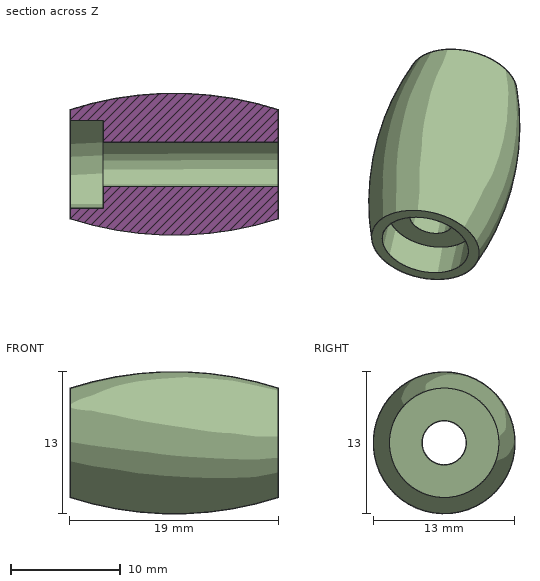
import cadquery as cq

length = 19.0
middle_diameter = 13.0
end_diameter = 10.0
bore_diameter = 4.0
counterbore_diameter = 8.0
counterbore_depth = 3.0

half_length = length / 2
end_radius = end_diameter / 2


def barrel():
    """Solid of revolution with a bulging arc between two flat ends."""
    return (
        cq.Workplane("XY")
        .moveTo(-half_length, 0)
        .lineTo(-half_length, end_radius)
        .threePointArc((0, middle_diameter / 2), (half_length, end_radius))
        .lineTo(half_length, 0)
        .close()
        .revolve(360, (0, 0, 0), (1, 0, 0))
    )


def round_cut(diameter, depth):
    """Cylinder reaching from the -X end face into the part."""
    return cq.Workplane("YZ", origin=(-half_length, 0, 0)).circle(diameter / 2).extrude(depth)


through_bore = round_cut(bore_diameter, length)
counterbore = round_cut(counterbore_diameter, counterbore_depth)

result = barrel().cut(through_bore).cut(counterbore)